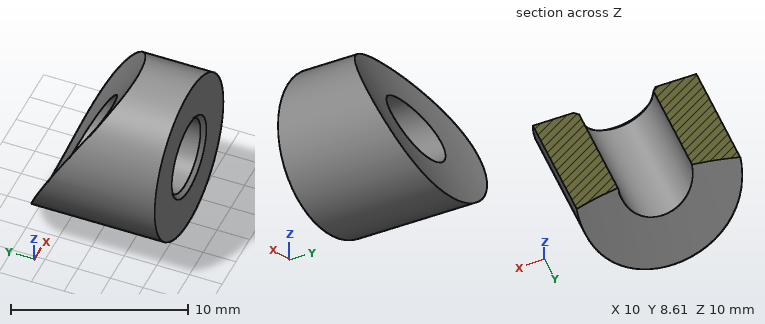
import math
import cadquery as cq

outer_diameter = 10.0
bore_diameter = 4.5
chamfer_size = 0.25
long_length = 8.61
short_length = 3.2
tube_diameter = 42.4

tube_radius = tube_diameter / 2
center_length = (short_length + long_length) / 2
saddle_slope = (long_length - short_length) / outer_diameter
saddle_tilt = math.degrees(math.atan(saddle_slope))
tube_length = 4 * outer_diameter
blank_length = 1.5 * long_length


def make_blank():
    """Round bar along +Y with its flat face at Y = 0."""
    return cq.Workplane("XZ").circle(outer_diameter / 2).extrude(-blank_length)


def cut_bore(body):
    """Through bore along Y, chamfered at the flat face only."""
    bored = body.faces("<Y").workplane().hole(bore_diameter)
    return bored.faces("<Y").edges("%CIRCLE").edges(cq.selectors.RadiusNthSelector(0)).chamfer(chamfer_size)


def make_tube():
    """Cylinder whose nearest line crosses the spacer axis at center_length.

    It is vertical at first, then tilted about X so that the line runs
    toward +Y as Z falls.
    """
    return (
        cq.Workplane("XY")
        .center(0, center_length + tube_radius)
        .circle(tube_radius)
        .extrude(tube_length / 2, both=True)
        .rotate((0, center_length, 0), (1, center_length, 0), saddle_tilt)
    )


def make_spacer():
    """Bored round spacer with one flat end and one sloping saddle end."""
    return cut_bore(make_blank()).cut(make_tube())


result = make_spacer()